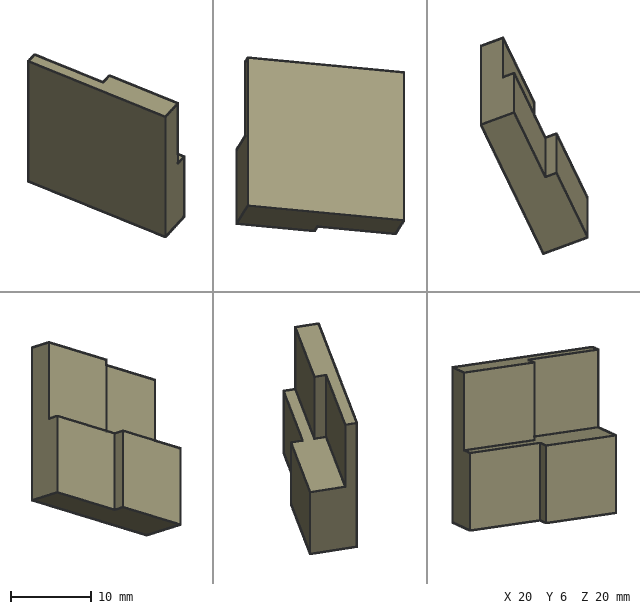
import cadquery as cq

side = 20.0
quadrant_side = side / 2
thickness_step = 1.5

quadrants = [
    (0, 1, 1),
    (1, 1, 2),
    (1, 0, 3),
    (0, 0, 4),
]


def quadrant_block(column, row, steps):
    """Block standing on the flat face at Y = 0 and rising toward +Y."""
    block = cq.Workplane("XY").box(
        quadrant_side, steps * thickness_step, quadrant_side, centered=False
    )
    return block.translate((column * quadrant_side, 0, row * quadrant_side))


result = cq.Workplane("XY")
for column, row, steps in quadrants:
    result = result.add(quadrant_block(column, row, steps))

result = result.combine(clean=True)